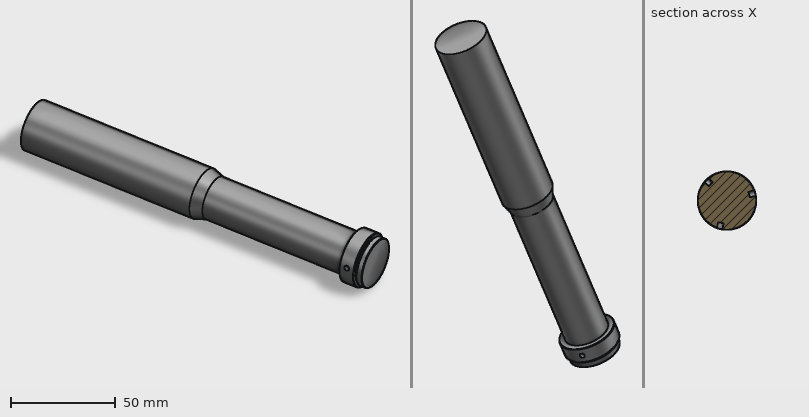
import cadquery as cq
import math

total_length = 190.0
grip_length = 94.0
taper_length = 6.0
collar_start = 178.0
collar_length = 8.0
groove_width = 1.0

grip_radius = 13.0
shaft_radius = 11.0
collar_radius = 14.0
groove_radius = 12.0
end_ring_radius = 12.75

collar_chamfer = 0.3
end_ring_chamfer = 0.3

hole_count = 3
hole_diameter = 2.5
hole_depth = collar_radius - shaft_radius
hole_x = collar_start + collar_length / 2
first_hole_angle = 45.0

taper_end = grip_length + taper_length
collar_end = collar_start + collar_length
end_ring_start = collar_end + groove_width


def make_turned_body():
    """Revolve the half profile of grip, shaft, collar and end ring about X."""
    return (
        cq.Workplane("XZ")
        .moveTo(0, 0)
        .lineTo(0, grip_radius)
        .lineTo(grip_length, grip_radius)
        .lineTo(taper_end, shaft_radius)
        .lineTo(collar_start, shaft_radius)
        .lineTo(collar_start, collar_radius - collar_chamfer)
        .lineTo(collar_start + collar_chamfer, collar_radius)
        .lineTo(collar_end - collar_chamfer, collar_radius)
        .lineTo(collar_end, collar_radius - collar_chamfer)
        .lineTo(collar_end, groove_radius)
        .lineTo(end_ring_start, groove_radius)
        .lineTo(end_ring_start, end_ring_radius)
        .lineTo(total_length - end_ring_chamfer, end_ring_radius)
        .lineTo(total_length, end_ring_radius - end_ring_chamfer)
        .lineTo(total_length, 0)
        .close()
        .revolve(360, (0, 0, 0), (1, 0, 0))
    )


def make_screw_hole(angle_degrees):
    """Blind flat-bottomed hole drilled radially inward from the collar surface."""
    angle = math.radians(angle_degrees)
    outward = cq.Vector(0, math.cos(angle), math.sin(angle))
    start = cq.Vector(hole_x, 0, 0) + outward * collar_radius
    return cq.Solid.makeCylinder(hole_diameter / 2, hole_depth, start, outward * -1)


result = make_turned_body()
for hole_index in range(hole_count):
    hole_angle = first_hole_angle + hole_index * 360 / hole_count
    result = result.cut(make_screw_hole(hole_angle))